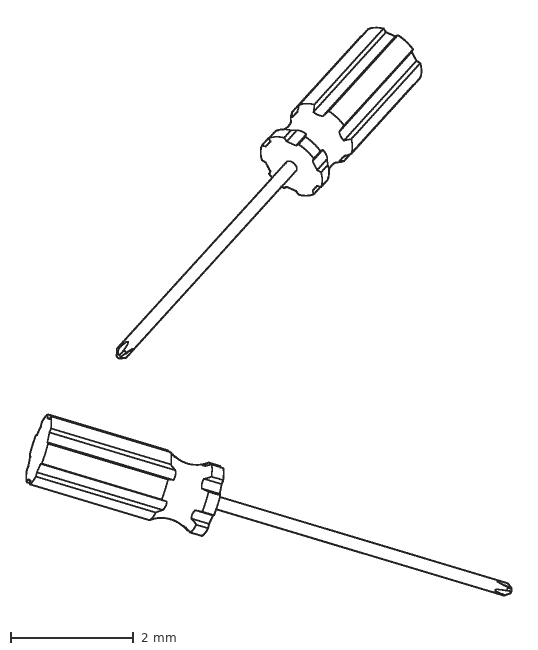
import cadquery as cq
import math

overall_length = 8.2
handle_length = 2.99
handle_radius = 0.6
shaft_radius = 0.11
handle_front = overall_length - handle_length

cut_margin = 0.08

flute_count = 6
flute_angle = 360 / flute_count
flute_floor_radius = 0.525
flute_floor_half_width = 0.09
flute_mouth_half_width = 0.14

waist_radius = 0.475
waist_half_length = 0.35
waist_centre = handle_front + 0.56

cone_length = 0.09
tip_flat_radius = 0.04
tip_groove_count = 4
tip_groove_radius = 0.05
tip_groove_length = 0.28
tip_core_radius = 0.04


def along_y(start):
    """Sketch plane across the axis at Y = start, with its normal toward +Y."""
    return cq.Workplane(cq.Plane(origin=(0, start, 0), xDir=(1, 0, 0), normal=(0, 1, 0)))


def make_handle():
    """Round grip with trapezoidal flutes and a concave waist."""
    handle = along_y(handle_front).circle(handle_radius).extrude(handle_length)

    mouth_height = math.sqrt(handle_radius**2 - flute_mouth_half_width**2)
    wall_slope = (flute_mouth_half_width - flute_floor_half_width) / (mouth_height - flute_floor_radius)
    cutter_height = handle_radius + cut_margin
    cutter_half_width = flute_floor_half_width + wall_slope * (cutter_height - flute_floor_radius)
    flute = along_y(handle_front).polyline([
        (-flute_floor_half_width, flute_floor_radius),
        (flute_floor_half_width, flute_floor_radius),
        (cutter_half_width, cutter_height),
        (-cutter_half_width, cutter_height),
    ]).close().extrude(handle_length)
    for i in range(flute_count):
        handle = handle.cut(flute.rotate((0, 0, 0), (0, 1, 0), i * flute_angle))

    waist_depth = handle_radius - waist_radius
    arc_radius = (waist_half_length**2 + waist_depth**2) / (2 * waist_depth)
    arc_centre = waist_radius + arc_radius
    waist = (
        cq.Workplane("XY")
        .center(arc_centre, waist_centre)
        .moveTo(0, -arc_radius)
        .threePointArc((-arc_radius, 0), (0, arc_radius))
        .close()
        .revolve(360, (-arc_centre, 0), (-arc_centre, 1))
    )
    return handle.cut(waist)


def make_shaft():
    """Round shaft with a blunt conical end and four sloping grooves."""
    shaft = (
        cq.Workplane("XY")
        .polyline([
            (0, 0),
            (tip_flat_radius, 0),
            (shaft_radius, cone_length),
            (shaft_radius, handle_front),
            (0, handle_front),
        ])
        .close()
        .revolve(360, (0, 0), (0, 1))
    )
    rise = shaft_radius - tip_core_radius
    slope_length = math.hypot(rise, tip_groove_length)
    direction = cq.Vector(0, tip_groove_length, rise).normalized()
    bottom_to_axis = cq.Vector(0, -direction.z, direction.y) * tip_groove_radius
    start = cq.Vector(0, 0, tip_core_radius) + bottom_to_axis - direction * cut_margin
    cutter_length = slope_length + 2 * cut_margin
    groove = cq.Workplane(cq.Solid.makeCylinder(tip_groove_radius, cutter_length, start, direction))
    for i in range(tip_groove_count):
        shaft = shaft.cut(groove.rotate((0, 0, 0), (0, 1, 0), i * 360 / tip_groove_count))
    return shaft


result = make_handle().union(make_shaft())